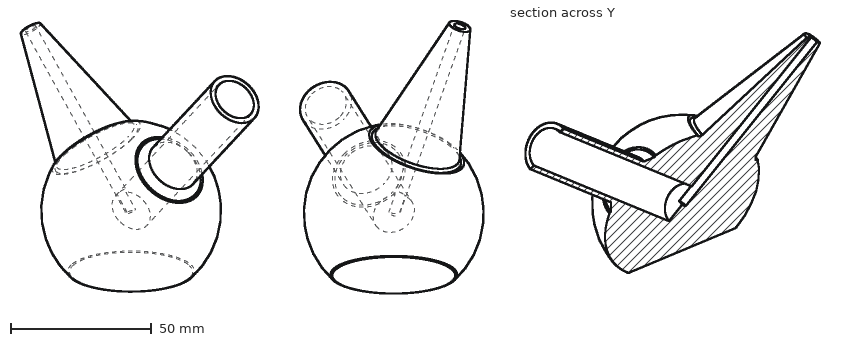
import cadquery as cq
import math

BULB_RADIUS = 32.0
FOOT_DEPTH = 23.0
FOOT_CHAMFER = 0.4

TILT = 45

TUBE_DIAMETER = 19.3
TUBE_BORE = 15.3
TUBE_END = 79.0
TUBE_SHOULDER_RADIUS = 13.5
TUBE_COLLAR_RADIUS = 12.7

SPOUT_TIP_RADIUS = 4.0
SPOUT_BASE_RADIUS = 15.7
SPOUT_BORE = 4.1
SPOUT_END = 76.7
SPOUT_BASE = 27.4

GROOVE_RADIUS = 17.7
GROOVE_FLOOR_RADIUS = 16.6
GROOVE_FLOOR = 26.3


def distance_to_sphere(radius):
    """Axial distance at which a coaxial circle of this radius lies on the sphere."""
    return math.sqrt(BULB_RADIUS**2 - radius**2)


def revolved(profile, tilt):
    """Revolve (radius, distance) points about the branch axis, then tilt about Y."""
    solid = cq.Workplane("XZ").polyline(profile).close().revolve(360, (0, 0), (0, 1))
    return solid.rotate((0, 0, 0), (0, 1, 0), tilt)


def bore(diameter, end, tilt):
    """Straight hole from the sphere centre to the branch end."""
    hole = cq.Workplane("XY").circle(diameter / 2).extrude(end)
    return hole.rotate((0, 0, 0), (0, 1, 0), tilt)


bulb_box = cq.Workplane("XY").workplane(offset=-FOOT_DEPTH).rect(2 * BULB_RADIUS, 2 * BULB_RADIUS)
bulb = cq.Workplane("XY").sphere(BULB_RADIUS).intersect(bulb_box.extrude(FOOT_DEPTH + BULB_RADIUS))
bulb = bulb.faces("<Z").edges().chamfer(FOOT_CHAMFER)

groove_top = distance_to_sphere(GROOVE_RADIUS)
groove = revolved(
    [
        (GROOVE_RADIUS, groove_top),
        (GROOVE_FLOOR_RADIUS, GROOVE_FLOOR),
        (SPOUT_BASE_RADIUS, SPOUT_BASE),
        (SPOUT_TIP_RADIUS, SPOUT_END),
        (GROOVE_RADIUS, SPOUT_END),
    ],
    -TILT,
)

tube_radius = TUBE_DIAMETER / 2
shoulder = distance_to_sphere(TUBE_SHOULDER_RADIUS)
collar_top = shoulder + TUBE_COLLAR_RADIUS - tube_radius
tube = revolved(
    [
        (0, 0),
        (TUBE_SHOULDER_RADIUS, shoulder),
        (TUBE_COLLAR_RADIUS, shoulder),
        (tube_radius, collar_top),
        (tube_radius, TUBE_END),
        (0, TUBE_END),
    ],
    TILT,
)

shoulder_cut = revolved(
    [
        (TUBE_SHOULDER_RADIUS, shoulder),
        (0, shoulder),
        (0, TUBE_END),
        (TUBE_SHOULDER_RADIUS, TUBE_END),
    ],
    TILT,
)

spout = revolved(
    [(0, 0), (SPOUT_BASE_RADIUS, SPOUT_BASE), (SPOUT_TIP_RADIUS, SPOUT_END), (0, SPOUT_END)],
    -TILT,
)

result = bulb.cut(groove).cut(shoulder_cut).union(tube).union(spout)
result = result.cut(bore(TUBE_BORE, TUBE_END, TILT)).cut(bore(SPOUT_BORE, SPOUT_END, -TILT))